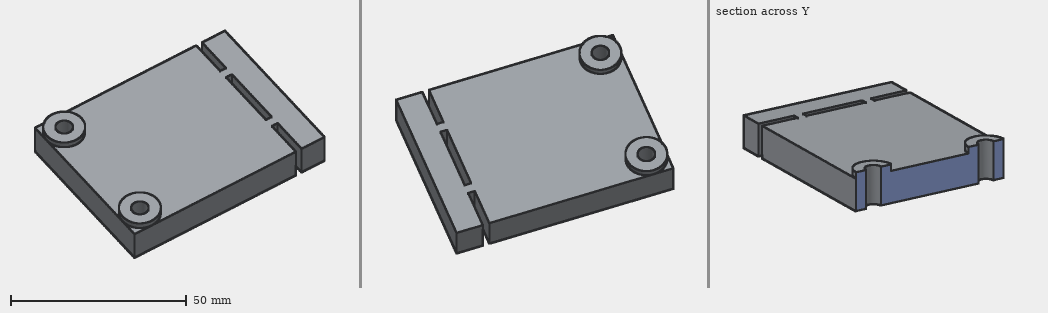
import cadquery as cq

width = 50.0
length = 66.0
total_height = 12.0
boss_height = 2.0
plate_height = total_height - boss_height

boss_diameter = 12.0
hole_diameter = 5.0
boss_x = (width - boss_diameter) / 2
boss_y = (boss_diameter - length) / 2

rear_bar_depth = 8.0
slot_width = 2.0
middle_slot_length = 20.0
bridge_width = 3.0
slot_y = length / 2 - rear_bar_depth - slot_width / 2
side_slot_length = (width - middle_slot_length) / 2 - bridge_width
side_slot_x = (width - side_slot_length) / 2


def make_plate():
    return cq.Workplane("XY").box(width, length, plate_height, centered=(True, True, False))


def make_slot(center_x, slot_length):
    """Rectangular cutter through the full plate height."""
    return (
        cq.Workplane("XY")
        .center(center_x, slot_y)
        .rect(slot_length, slot_width)
        .extrude(plate_height)
    )


def add_bosses(body):
    """Add both bosses and drill their holes through the plate."""
    boss_centers = [(-boss_x, boss_y), (boss_x, boss_y)]
    layout = cq.Workplane("XY").pushPoints(boss_centers)
    bosses = layout.circle(boss_diameter / 2).extrude(total_height)
    holes = layout.circle(hole_diameter / 2).extrude(total_height)
    return body.union(bosses).cut(holes)


result = add_bosses(make_plate())
result = result.cut(make_slot(0, middle_slot_length))
for side in (-1, 1):
    result = result.cut(make_slot(side * side_slot_x, side_slot_length))